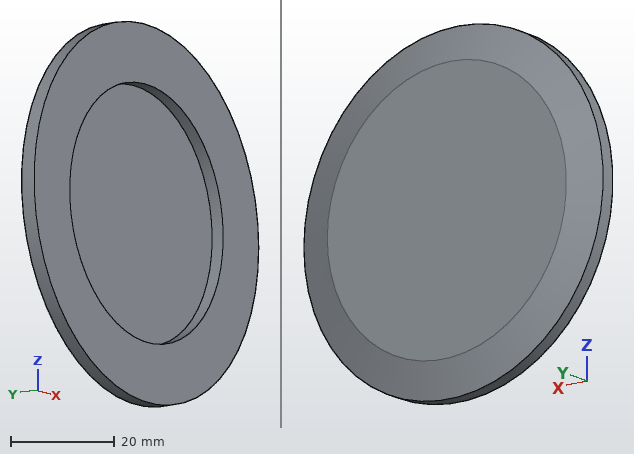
import cadquery as cq
import math

outer_diameter = 75.0
total_thickness = 5.0
rim_thickness = 3.0
taper_angle = 15.0
recess_diameter = 51.2
recess_depth = 2.6

outer_radius = outer_diameter / 2
taper_height = total_thickness - rim_thickness
back_radius = outer_radius - taper_height / math.tan(math.radians(taper_angle))

disc = (
    cq.Workplane("XY")
    .polyline([
        (0, 0),
        (outer_radius, 0),
        (outer_radius, rim_thickness),
        (back_radius, total_thickness),
        (0, total_thickness),
    ])
    .close()
    .revolve(360, (0, 0, 0), (0, 1, 0))
)

recess = cq.Workplane("XZ").circle(recess_diameter / 2).extrude(-recess_depth)

result = disc.cut(recess)